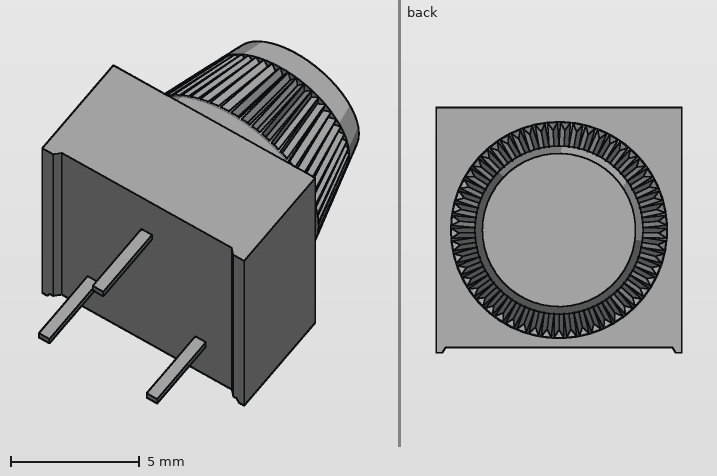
import cadquery as cq
import math


HOUSING_SIDE = 9.52
HOUSING_DEPTH = 4.85
CHANNEL_DEPTH = 0.24
REAR_FOOT_WIDTH = 0.51
BASE_RELIEF = 0.2
BASE_FOOT_WIDTH = 0.24
BASE_FOOT_TAPER = 0.12

TERMINAL_WIDTH = 0.5
TERMINAL_HEIGHT = 0.3
TERMINAL_REACH = 3.08
TERMINAL_OFFSET = 2.54

TOTAL_LENGTH = 13.51
KNOB_LENGTH = TOTAL_LENGTH - HOUSING_DEPTH - TERMINAL_REACH
KNOB_RADIUS = 4.2
COLLAR_LENGTH = 0.99
CONE_ANGLE = math.radians(15)

GROOVE_COUNT = 53
GROOVE_START_GAP = 0.1
GROOVE_TIP_GAP = 1.08
GROOVE_DEPTH = 0.31
GROOVE_WIDTH = 0.39
CUTTER_RISE = 0.03

HALF_SIDE = HOUSING_SIDE / 2
CONE_LENGTH = KNOB_LENGTH - COLLAR_LENGTH
CONE_BASE_Y = HOUSING_DEPTH + COLLAR_LENGTH


def cone_radius(distance):
    """Cone radius at an axial distance from the collar."""
    return KNOB_RADIUS - distance * math.tan(CONE_ANGLE)


def make_housing():
    """Square block with a rear channel and base relief, fused with its three terminals."""
    block = cq.Workplane("XY").box(HOUSING_SIDE, HOUSING_DEPTH, HOUSING_SIDE, centered=(True, False, True))

    mouth = HALF_SIDE - REAR_FOOT_WIDTH
    floor = mouth - CHANNEL_DEPTH
    channel = (
        cq.Workplane("XY", origin=(0, 0, -HALF_SIDE))
        .polyline([(-mouth, 0), (mouth, 0), (floor, CHANNEL_DEPTH), (-floor, CHANNEL_DEPTH)])
        .close()
        .extrude(HOUSING_SIDE)
    )

    opening = HALF_SIDE - BASE_FOOT_WIDTH
    ceiling = opening - BASE_FOOT_TAPER
    relief_top = BASE_RELIEF - HALF_SIDE
    relief = (
        cq.Workplane("XZ")
        .polyline([(-opening, -HALF_SIDE), (opening, -HALF_SIDE), (ceiling, relief_top), (-ceiling, relief_top)])
        .close()
        .extrude(-HOUSING_DEPTH)
    )

    terminals = (
        cq.Workplane("XZ", origin=(0, CHANNEL_DEPTH, 0))
        .pushPoints([
            (-TERMINAL_OFFSET, -TERMINAL_OFFSET),
            (TERMINAL_OFFSET, -TERMINAL_OFFSET),
            (0, TERMINAL_OFFSET),
        ])
        .rect(TERMINAL_WIDTH, TERMINAL_HEIGHT)
        .extrude(TERMINAL_REACH + CHANNEL_DEPTH)
    )
    return block.cut(channel).cut(relief).union(terminals)


def make_groove_cutter():
    """Triangular prism lying along the cone slope on the +Z side, standing slightly proud of the cone."""
    start_plane = cq.Plane(
        origin=(0, CONE_BASE_Y + GROOVE_START_GAP, cone_radius(GROOVE_START_GAP)),
        xDir=(-1, 0, 0),
        normal=(0, math.cos(CONE_ANGLE), -math.sin(CONE_ANGLE)),
    )
    run_length = (CONE_LENGTH - GROOVE_START_GAP - GROOVE_TIP_GAP) / math.cos(CONE_ANGLE)
    half_width = GROOVE_WIDTH / 2 * (1 + CUTTER_RISE / GROOVE_DEPTH)
    corners = [(-half_width, CUTTER_RISE), (half_width, CUTTER_RISE), (0, -GROOVE_DEPTH)]
    return cq.Workplane(start_plane).polyline(corners).close().extrude(run_length)


def make_knob():
    """Collar and cone about the Y axis, with grip grooves around the cone."""
    body = (
        cq.Workplane("XY", origin=(0, HOUSING_DEPTH, 0))
        .polyline([
            (0, 0),
            (KNOB_RADIUS, 0),
            (KNOB_RADIUS, COLLAR_LENGTH),
            (cone_radius(CONE_LENGTH), KNOB_LENGTH),
            (0, KNOB_LENGTH),
        ])
        .close()
        .revolve(360, (0, 0, 0), (0, 1, 0))
    )
    cutter = make_groove_cutter()
    pitch = 360 / GROOVE_COUNT
    for index in range(GROOVE_COUNT):
        angle = (index + 0.5) * pitch
        body = body.cut(cutter.rotate((0, 0, 0), (0, 1, 0), angle))
    return body


housing = make_housing()
knob = make_knob()

result = cq.Compound.makeCompound([housing.val(), knob.val()])